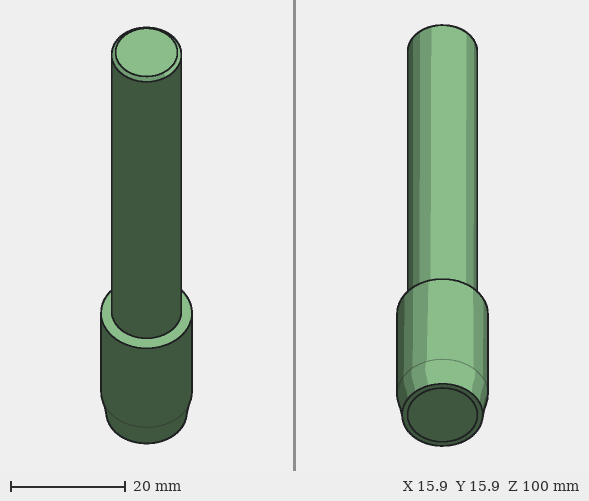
import cadquery as cq
import math

total_length = 100.0
sleeve_diameter = 15.9
pin_diameter = 12.2

pin_chamfer_width = 0.7
pin_chamfer_height = 0.6

sleeve_length = 28.1
shoulder_height = 0.5
nose_height = 5.7
nose_inset = 0.9
nose_arc_radius = 40.0

pin_radius = pin_diameter / 2
sleeve_radius = sleeve_diameter / 2
nose_radius = sleeve_radius - nose_inset


def make_pin():
    """Round pin through the whole length, chamfered at its top end."""
    return (
        cq.Workplane("XY")
        .circle(pin_radius)
        .extrude(total_length)
        .faces(">Z")
        .chamfer(pin_chamfer_height, pin_chamfer_width)
    )


def nose_arc_middle():
    """Middle point (radius, height) of the slightly concave nose profile."""
    chord = math.hypot(nose_inset, nose_height)
    hollow = nose_arc_radius - math.sqrt(nose_arc_radius**2 - (chord / 2) ** 2)
    middle_radius = (nose_radius + sleeve_radius) / 2 - hollow * nose_height / chord
    middle_height = nose_height / 2 + hollow * nose_inset / chord
    return middle_radius, middle_height


def make_sleeve():
    """Sleeve around the pin, with a sloping shoulder and a concave nose."""
    return (
        cq.Workplane("XZ")
        .moveTo(pin_radius, 0)
        .lineTo(nose_radius, 0)
        .threePointArc(nose_arc_middle(), (sleeve_radius, nose_height))
        .lineTo(sleeve_radius, sleeve_length - shoulder_height)
        .lineTo(pin_radius, sleeve_length)
        .close()
        .revolve(360, (0, 0, 0), (0, 1, 0))
    )


pin = make_pin()
sleeve = make_sleeve()

result = cq.Compound.makeCompound([pin.val(), sleeve.val()])